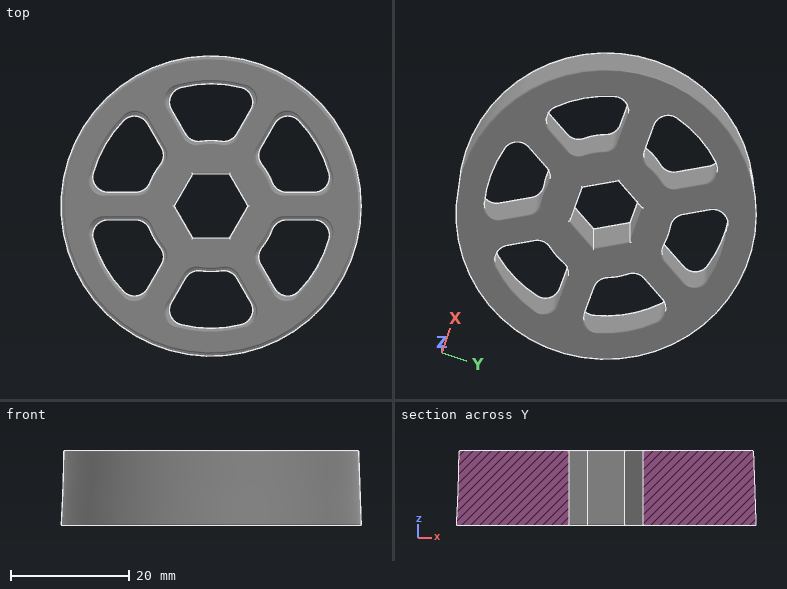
import cadquery as cq
import math

diameter = 50.8
height = 12.7
draft_angle = 2.0
edge_round = 0.25

hex_across_flats = 10.75

window_count = 6
window_outer_radius = 21.05
window_inner_radius = 10.65
spoke_width = 3.85
window_corner_radius = 2.55


def make_body():
    """Disc that narrows upwards."""
    return cq.Workplane("XY").circle(diameter / 2).extrude(height, taper=draft_angle)


def make_window():
    """Cutter for the window on +Y: narrows downwards, with rounded corners."""
    top_plane = cq.Workplane("XY", origin=(0, 0, height))
    outer_cone = top_plane.circle(window_outer_radius).extrude(-height, taper=draft_angle)
    inner_cone = top_plane.circle(window_inner_radius).extrude(-height, taper=-draft_angle)

    half_pitch = math.pi / window_count
    tip_y = spoke_width / 2 / math.sin(half_pitch)
    base_half_width = (diameter - tip_y) * math.tan(half_pitch)
    wedge = (
        top_plane.polyline([(0, tip_y), (base_half_width, diameter), (-base_half_width, diameter)])
        .close()
        .extrude(-height, taper=draft_angle)
    )
    window = outer_cone.cut(inner_cone).intersect(wedge)
    return window.edges("not(<Z or >Z)").fillet(window_corner_radius)


def cut_windows(body):
    """Cut the ring of windows."""
    window = make_window()
    for index in range(window_count):
        turn = 360.0 / window_count * index
        body = body.cut(window.rotate((0, 0, 0), (0, 0, 1), turn))
    return body


def cut_hex_bore(body):
    """Cut the hexagonal through bore, with corners on the X axis."""
    hex_across_corners = hex_across_flats / math.cos(math.pi / 6)
    bore = cq.Workplane("XY").polygon(6, hex_across_corners).extrude(height)
    return body.cut(bore)


def round_end_edges(body):
    """Round the rims, window edges and bore edges on both end faces."""
    return body.faces("<Z or >Z").edges().fillet(edge_round)


result = round_end_edges(cut_hex_bore(cut_windows(make_body())))